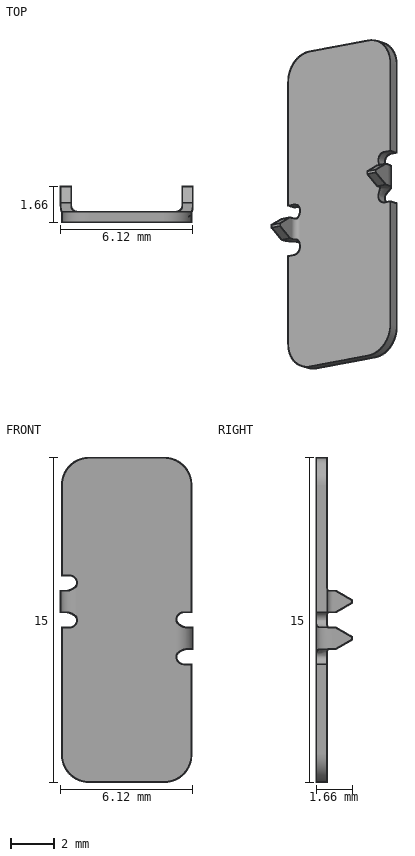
import cadquery as cq
import math

PLATE_WIDTH = 6.0
PLATE_HEIGHT = 15.0
THICKNESS = 0.5
CORNER_RADIUS = 1.27

TAB_WIDTH = 1.0
TAB_CENTRE_Z = 0.85
TAB_OUTER_X = 3.06
TAB_REACH = 1.66
TIP_WIDTH = 0.13
TIP_FLANK_ANGLE = math.radians(30)
INNER_BEND_RADIUS = 0.26

RELIEF_WIDTH = 0.7

outer_bend_radius = INNER_BEND_RADIUS + THICKNESS
neutral_bend_radius = INNER_BEND_RADIUS + THICKNESS / 2
bend_axis_x = TAB_OUTER_X - outer_bend_radius
bend_axis_y = outer_bend_radius
relief_radius = RELIEF_WIDTH / 2
notch_height = TAB_WIDTH + 2 * RELIEF_WIDTH
flare_height = TAB_WIDTH + RELIEF_WIDTH
half_tab = TAB_WIDTH / 2
half_tip = TIP_WIDTH / 2
shoulder_y = TAB_REACH - (half_tab - half_tip) / math.tan(TIP_FLANK_ANGLE)

CUT_MARGIN = 1.0
WEDGE_MARGIN = 0.1
CURVE_INTERVALS = 12


def make_plate():
    """Rounded rectangular sheet."""
    return (
        cq.Workplane("XY")
        .box(PLATE_WIDTH, THICKNESS, PLATE_HEIGHT, centered=(True, False, True))
        .edges("|Y")
        .fillet(CORNER_RADIUS)
    )


def make_notch():
    """Edge notch that frees the tab and its two relief slots, with rounded inner corners."""
    depth = PLATE_WIDTH / 2 - bend_axis_x + CUT_MARGIN
    return (
        cq.Workplane("XY")
        .box(depth, THICKNESS, notch_height, centered=(False, False, True))
        .edges("|Y and <X")
        .fillet(relief_radius)
        .translate((bend_axis_x, 0, TAB_CENTRE_Z))
    )


def make_bend_ring(height):
    """Quarter ring of sheet that turns from the plate toward +Y."""
    outer_mid = outer_bend_radius * math.sqrt(0.5)
    inner_mid = INNER_BEND_RADIUS * math.sqrt(0.5)
    return (
        cq.Workplane("XY", origin=(bend_axis_x, bend_axis_y, TAB_CENTRE_Z - height / 2))
        .moveTo(0, -outer_bend_radius)
        .threePointArc((outer_mid, -outer_mid), (outer_bend_radius, 0))
        .lineTo(INNER_BEND_RADIUS, 0)
        .threePointArc((inner_mid, -inner_mid), (0, -INNER_BEND_RADIUS))
        .close()
        .extrude(height)
    )


def flare_section(distance):
    """Flare outline on a plane parallel to the plate, at a distance from the bend axis."""
    half_root = flare_height / 2
    flare_angle = relief_radius / neutral_bend_radius
    reach = distance * math.tan(flare_angle)

    def flank(side):
        def point(turn):
            flat_length = relief_radius * (1 - math.cos(turn))
            x = distance * math.tan(flat_length / neutral_bend_radius)
            return x, side * (half_root - relief_radius * math.sin(turn))

        return point

    quarter = math.pi / 2
    return (
        cq.Workplane("XZ", origin=(bend_axis_x, bend_axis_y - distance, TAB_CENTRE_Z))
        .parametricCurve(flank(-1), N=CURVE_INTERVALS, start=0, stop=quarter, makeWire=False)
        .moveTo(reach, -half_tab)
        .lineTo(reach, half_tab)
        .parametricCurve(flank(1), N=CURVE_INTERVALS, start=quarter, stop=0, makeWire=False)
        .moveTo(0, half_root)
        .lineTo(0, -half_root)
        .wire()
        .val()
    )


def make_flare_wedge():
    """Wedge whose flanks widen the tab root into the rounded relief slots.

    The flanks are radial to the bend axis, as if round slot ends had been cut before bending.
    """
    near = flare_section(INNER_BEND_RADIUS - WEDGE_MARGIN)
    far = flare_section(outer_bend_radius + WEDGE_MARGIN)
    return cq.Workplane(cq.Solid.makeLoft([near, far], True))


def make_blade():
    """Straight pointed end of the tab."""
    return (
        cq.Workplane("YZ", origin=(TAB_OUTER_X - THICKNESS, 0, TAB_CENTRE_Z))
        .polyline([
            (bend_axis_y, -half_tab),
            (shoulder_y, -half_tab),
            (TAB_REACH, -half_tip),
            (TAB_REACH, half_tip),
            (shoulder_y, half_tab),
            (bend_axis_y, half_tab),
        ])
        .close()
        .extrude(THICKNESS)
    )


def make_tab():
    """Bend, flared root and pointed blade of the right-hand tab."""
    flare = make_bend_ring(flare_height).intersect(make_flare_wedge())
    return make_bend_ring(TAB_WIDTH).union(flare).union(make_blade())


def place_both_sides(shape):
    """Right-hand copy below the plate centre and left-hand copy above it, half a turn apart about Y."""
    right = shape.translate((0, 0, -2 * TAB_CENTRE_Z))
    return right, right.rotate((0, 0, 0), (0, 1, 0), 180)


result = make_plate()
for notch in place_both_sides(make_notch()):
    result = result.cut(notch)
for tab in place_both_sides(make_tab()):
    result = result.union(tab)